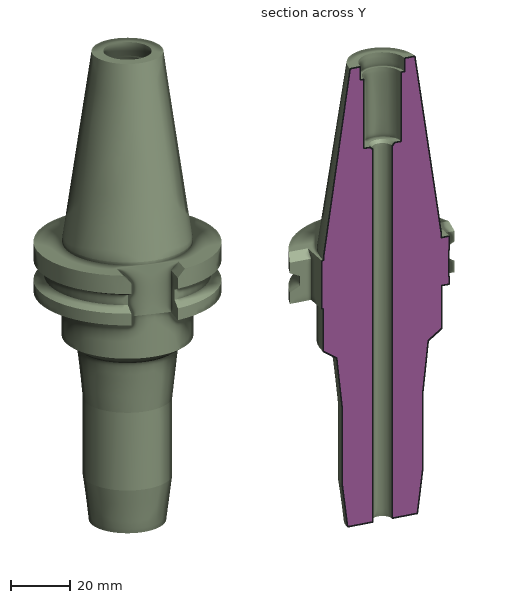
import cadquery as cq

total_height = 169.8
nose_cone_height = 16.3
neck_top_z = 44.5
shoulder_bottom_z = 63.4
shoulder_top_z = 67.0
taper_base_z = 101.7

nose_radius = 13.0
neck_radius = 15.1
neck_cone_top_radius = 17.2
body_radius = 22.3
taper_base_radius = 22.0
taper_slope = 7 / 48
taper_tip_radius = taper_base_radius - taper_slope * (total_height - taper_base_z)

flange_bottom_z = 82.7
flange_top_z = 100.7
flange_radius = 31.8
groove_floor_radius = 28.2
groove_lower_lip_z = 87.0
groove_floor_bottom_z = 88.7
groove_floor_top_z = 92.4
groove_upper_lip_z = 94.1

slot_width = 16.5
slot_floor_left = 25.0
slot_floor_right = 22.8
slot_chamfer = 2.7

recess_radius = 5.0
recess_z = 90.5
recess_depth = 0.2

entry_radius = 8.2
entry_depth = 5.0
thread_radius = 7.0
thread_depth = 30.5
through_radius = 3.5
through_mouth_radius = 4.6


def make_body():
    """Turned outside shape: nose, neck, shoulder, flange and taper."""
    return (
        cq.Workplane("XZ")
        .moveTo(0, 0)
        .lineTo(nose_radius, 0)
        .lineTo(neck_radius, nose_cone_height)
        .lineTo(neck_radius, neck_top_z)
        .lineTo(neck_cone_top_radius, shoulder_bottom_z)
        .lineTo(body_radius, shoulder_top_z)
        .lineTo(body_radius, flange_bottom_z)
        .lineTo(flange_radius, flange_bottom_z)
        .lineTo(flange_radius, groove_lower_lip_z)
        .lineTo(groove_floor_radius, groove_floor_bottom_z)
        .lineTo(groove_floor_radius, groove_floor_top_z)
        .lineTo(flange_radius, groove_upper_lip_z)
        .lineTo(flange_radius, flange_top_z)
        .lineTo(taper_base_radius, flange_top_z)
        .lineTo(taper_base_radius, taper_base_z)
        .lineTo(taper_tip_radius, total_height)
        .lineTo(0, total_height)
        .close()
        .revolve(360, (0, 0, 0), (0, 1, 0))
    )


def make_slot(side, floor_distance):
    """Cutter for a slot through the flange, flared at the top; side is -1 or +1 along X."""
    half_width = slot_width / 2
    flare_half_width = half_width + slot_chamfer
    return (
        cq.Workplane("YZ", origin=(side * floor_distance, 0, 0))
        .moveTo(-half_width, flange_bottom_z)
        .lineTo(half_width, flange_bottom_z)
        .lineTo(half_width, flange_top_z - slot_chamfer)
        .lineTo(flare_half_width, flange_top_z)
        .lineTo(-flare_half_width, flange_top_z)
        .lineTo(-half_width, flange_top_z - slot_chamfer)
        .close()
        .extrude(side * flange_radius)
    )


def make_recess():
    """Cutter for the shallow recess, running inward from the -X slot floor."""
    return (
        cq.Workplane("YZ", origin=(-slot_floor_left, 0, recess_z))
        .circle(recess_radius)
        .extrude(recess_depth)
    )


def make_bore():
    """Cutter for the entry bore, thread bore and through hole with its chamfered mouth."""
    entry_floor_z = total_height - entry_depth
    thread_floor_z = total_height - thread_depth
    mouth_bottom_z = thread_floor_z - (through_mouth_radius - through_radius)
    return (
        cq.Workplane("XZ")
        .moveTo(0, 0)
        .lineTo(through_radius, 0)
        .lineTo(through_radius, mouth_bottom_z)
        .lineTo(through_mouth_radius, thread_floor_z)
        .lineTo(thread_radius, thread_floor_z)
        .lineTo(thread_radius, entry_floor_z)
        .lineTo(entry_radius, entry_floor_z)
        .lineTo(entry_radius, total_height)
        .lineTo(0, total_height)
        .close()
        .revolve(360, (0, 0, 0), (0, 1, 0))
    )


result = (
    make_body()
    .cut(make_slot(-1, slot_floor_left))
    .cut(make_slot(1, slot_floor_right))
    .cut(make_recess())
    .cut(make_bore())
)